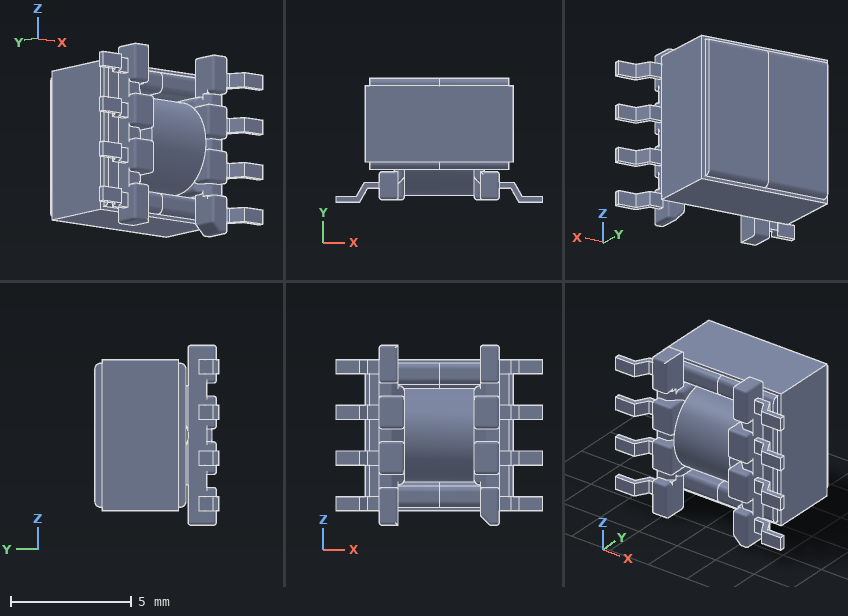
import cadquery as cq

core_half_length = 2.9
core_height = 6.0
core_front = 1.36
core_back = 5.16
core_depth = core_back - core_front
core_round = 0.25

tape_length = 6.16
tape_height = 6.3
tape_margin = 0.31

axis_y = 2.22
winding_radius = 1.95
winding_half_length = 1.45
post_radius = axis_y - core_front
hole_radius = 0.95
tube_radius = 1.2

flange_inner_x = winding_half_length
flange_outer_x = 1.88
flange_radius = 2.06
flange_round = 0.24
flange_clearance = 0.06
cavity_radius = flange_radius + flange_clearance
cavity_half_length = flange_outer_x + flange_clearance

rail_inner_x = 1.71
rail_outer_x = 2.5
rail_front = 0.1
rail_back = 1.28
rail_height = 7.5
notch_floor = 0.5
notch_width = 0.53
rail_round = 0.125
corner_cut = 0.4
slope_start_x = 1.98
slope_run = slope_start_x - flange_inner_x
slope_end_y = notch_floor + slope_run

pin_pitch = 1.9
pin_width = 0.6
pin_thickness = 0.25
pin_tip_x = 4.3
pin_shoulder_y = 0.58
pin_lower_bend_x = 3.31
pin_upper_bend_x = 2.98
pin_bend_shift = 0.14
pin_levels = [(i - 1.5) * pin_pitch for i in range(4)]

block_height = pin_pitch - notch_width
end_block_start = pin_pitch + notch_width / 2
end_block_height = rail_height / 2 - end_block_start
end_block_level = end_block_start + end_block_height / 2


def box(x_min, x_max, y_min, y_max, z_min, z_max):
    size = (x_max - x_min, y_max - y_min, z_max - z_min)
    return cq.Workplane("XY").box(*size, centered=False).translate((x_min, y_min, z_min))


def level_box(x_min, x_max, y_min, y_max, height, level=0):
    return box(x_min, x_max, y_min, y_max, level - height / 2, level + height / 2)


def cylinder(radius, x_min, x_max):
    """Solid cylinder on the winding axis."""
    return cq.Workplane("YZ", origin=(x_min, axis_y, 0)).circle(radius).extrude(x_max - x_min)


def u_plate(radius, front_y, x_min, x_max):
    """Plate with straight sides toward the front and a half-round back."""
    return (
        cq.Workplane("YZ", origin=(x_min, 0, 0))
        .moveTo(front_y, -radius)
        .lineTo(axis_y, -radius)
        .threePointArc((axis_y + radius, 0), (axis_y, radius))
        .lineTo(front_y, radius)
        .close()
        .extrude(x_max - x_min)
    )


def mirrored(body):
    return body.mirror("YZ")


def make_core_half():
    block = level_box(0, core_half_length, core_front, core_back, core_height)
    block = block.edges("|X").fillet(core_round)
    block = block.cut(u_plate(cavity_radius, core_front, 0, cavity_half_length))
    mouth_height = 2 * cavity_radius + core_round
    mouth_edges = cq.selectors.BoxSelector(
        (0, core_front - core_round / 2, -mouth_height / 2),
        (cavity_half_length, core_front + core_round / 2, mouth_height / 2),
    )
    block = block.edges("|X").edges(mouth_edges).fillet(core_round)
    return block.union(cylinder(post_radius, 0, cavity_half_length))


def make_tape():
    y_min = core_front + tape_margin
    y_max = core_back - tape_margin
    outside = level_box(-tape_length / 2, tape_length / 2, y_min, y_max, tape_height)
    inside = level_box(-core_half_length, core_half_length, y_min, y_max, core_height)
    return outside.cut(inside)


def make_winding():
    coil = cylinder(winding_radius, -winding_half_length, winding_half_length)
    return coil.cut(cylinder(tube_radius, -winding_half_length, winding_half_length))


def make_slope_wedge(height):
    """Material in front of the 45 degree slope behind the notches."""
    return (
        cq.Workplane("XY", origin=(0, 0, -height / 2))
        .moveTo(slope_start_x, notch_floor)
        .lineTo(flange_inner_x, slope_end_y)
        .lineTo(flange_inner_x, notch_floor)
        .close()
        .extrude(height)
    )


def make_flange():
    plate = u_plate(flange_radius, notch_floor, flange_inner_x, flange_outer_x)
    plate = plate.cut(make_slope_wedge(rail_height))
    plate = plate.faces("<X").edges("not |Z").fillet(flange_round)
    slope_face = cq.selectors.DirectionMinMaxSelector(cq.Vector(1, 1, 0), False)
    plate = plate.faces(slope_face).edges("not |Z").fillet(rail_round)
    return plate.cut(cylinder(hole_radius, flange_inner_x, flange_outer_x))


def cut_pin_one_corner(body):
    corner = level_box(rail_inner_x, rail_outer_x, rail_front, rail_back, rail_height)
    kept = corner.edges("|Y and <X and <Z").chamfer(corner_cut)
    return body.intersect(kept)


def make_end_block(side, pin_one):
    y_max = rail_back - rail_round
    level = side * end_block_level
    block = level_box(rail_inner_x, rail_outer_x, rail_front, y_max, end_block_height, level)
    rounded = "|Y or <Y"
    if pin_one:
        block = cut_pin_one_corner(block)
    else:
        rail_end = ">Z" if side > 0 else "<Z"
        rounded = f"(|Y or <Y) exc (|Y and <X and {rail_end})"
    return block.edges(rounded).fillet(rail_round)


def make_middle_block(side):
    level = side * pin_pitch / 2
    block = level_box(flange_inner_x, rail_outer_x, rail_front, slope_end_y, block_height, level)
    return block.edges("|Y or <Y").fillet(rail_round)


def make_rail_base(pin_one):
    base = level_box(rail_inner_x, rail_outer_x, notch_floor, rail_back, rail_height)
    if pin_one:
        base = cut_pin_one_corner(base)
        rounded = "(|Y or >Y) exc (>Y and <X)"
    else:
        rounded = "(|Y or >Y) exc <X"
    base = base.edges(rounded).fillet(rail_round)
    base = base.cut(make_slope_wedge(2 * end_block_start))
    slope_edge = cq.selectors.NearestToPointSelector((slope_start_x, notch_floor, 0))
    return base.edges("|Z").edges(slope_edge).fillet(rail_round)


def make_rail(pin_one):
    """Rail on the +X side; without the pin 1 corner, its inner end corners stay sharp."""
    rail = make_rail_base(pin_one)
    for side in (-1, 1):
        rail = rail.union(make_end_block(side, pin_one))
        rail = rail.union(make_middle_block(side))
    return rail


def make_pin(level):
    """Gull-wing pin, bent from flat strip."""
    return (
        cq.Workplane("XY", origin=(0, 0, level - pin_width / 2))
        .moveTo(pin_tip_x, 0)
        .lineTo(pin_lower_bend_x, 0)
        .lineTo(pin_upper_bend_x, pin_shoulder_y)
        .lineTo(rail_outer_x - rail_round, pin_shoulder_y)
        .lineTo(rail_outer_x - rail_round, pin_shoulder_y + pin_thickness)
        .lineTo(pin_upper_bend_x + pin_bend_shift, pin_shoulder_y + pin_thickness)
        .lineTo(pin_lower_bend_x + pin_bend_shift, pin_thickness)
        .lineTo(pin_tip_x, pin_thickness)
        .close()
        .extrude(pin_width)
    )


def make_bobbin_side(pin_one):
    side = make_flange().union(make_rail(pin_one))
    for level in pin_levels:
        side = side.union(make_pin(level))
    return side


def make_bobbin():
    tube = cylinder(tube_radius, -flange_inner_x, flange_inner_x)
    tube = tube.cut(cylinder(hole_radius, -flange_inner_x, flange_inner_x))
    return tube.union(make_bobbin_side(True)).union(mirrored(make_bobbin_side(False)))


right_core = make_core_half()
left_core = mirrored(right_core)
tape = make_tape()
winding = make_winding()
bobbin = make_bobbin()

result = cq.Compound.makeCompound(
    [left_core.val(), right_core.val(), tape.val(), winding.val(), bobbin.val()]
)